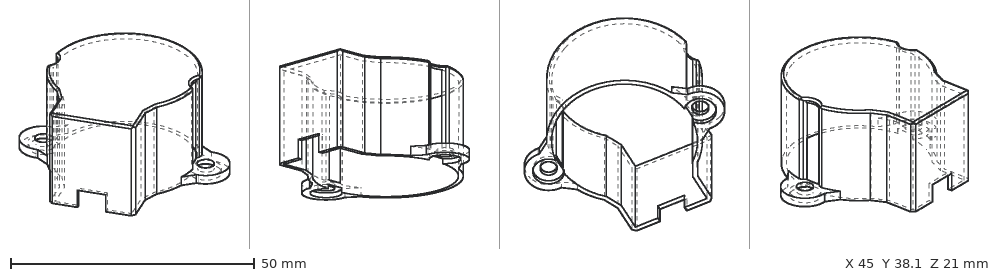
import cadquery as cq
import math

height = 21.0
wall = 1.0
body_radius = 16.0
edge_chamfer = 0.5

box_half_width = 9.25
box_front_y = -22.1
box_back_y = -15.0
box_corner_chamfer = 0.75
cheek_x = 10.75
cheek_y = -math.sqrt(body_radius**2 - cheek_x**2)

cable_width = 6.1
cable_height = 4.0

ear_spacing = 35.0
ear_x = ear_spacing / 2
ear_radius = 5.0
ear_thickness = 2.0
ear_hole_diameter = 3.5
ear_recess_diameter = 6.5
ear_recess_depth = 1.0
ear_flank_x = 17.1
ear_root_x = 14.43
ear_root_y = math.sqrt(body_radius**2 - ear_root_x**2)

notch_radius = 3.0


def body_outline():
    """Keyhole outline of the round body, slanted cheeks and box."""
    return (
        cq.Workplane("XY")
        .moveTo(cheek_x, cheek_y)
        .lineTo(box_half_width, box_back_y)
        .lineTo(box_half_width, box_front_y)
        .lineTo(-box_half_width, box_front_y)
        .lineTo(-box_half_width, box_back_y)
        .lineTo(-cheek_x, cheek_y)
        .threePointArc((0, body_radius), (cheek_x, cheek_y))
        .close()
    )


def outer_body():
    """Solid envelope with screw notches and a chamfered rim, box corners and notch tips."""
    body = body_outline().extrude(height)
    notches = cq.Workplane("XY").pushPoints([(-ear_x, 0), (ear_x, 0)]).circle(notch_radius).extrude(height)
    body = body.cut(notches)

    body = body.faces(">Z").edges().chamfer(edge_chamfer)

    tip_x = (body_radius**2 - notch_radius**2 + ear_x**2) / (2 * ear_x)
    tip_y = math.sqrt(body_radius**2 - tip_x**2)
    upright_mid_z = (height - edge_chamfer) / 2
    for side in (-1, 1):
        for end in (-1, 1):
            tip = cq.selectors.NearestToPointSelector((side * tip_x, end * tip_y, upright_mid_z))
            body = body.edges(tip).chamfer(edge_chamfer)
        corner = cq.selectors.NearestToPointSelector((side * box_half_width, box_front_y, upright_mid_z))
        body = body.edges(corner).chamfer(box_corner_chamfer)

    return body


def cavity():
    """Hollow open at the bottom; it breaks through the notches as two tall slits."""
    return body_outline().offset2D(-wall, "intersection").extrude(height - wall)


def ear(side):
    """Flat mounting ear with flared roots; side is -1 or 1 along X."""
    return (
        cq.Workplane("XY")
        .moveTo(0, ear_root_y)
        .lineTo(side * ear_root_x, ear_root_y)
        .lineTo(side * ear_flank_x, ear_radius)
        .lineTo(side * ear_x, ear_radius)
        .threePointArc((side * (ear_x + ear_radius), 0), (side * ear_x, -ear_radius))
        .lineTo(side * ear_flank_x, -ear_radius)
        .lineTo(side * ear_root_x, -ear_root_y)
        .lineTo(0, -ear_root_y)
        .close()
        .extrude(ear_thickness)
    )


def ear_holes():
    """Screw holes through both ears, each widened by a recess in the underside."""
    centres = cq.Workplane("XY").pushPoints([(-ear_x, 0), (ear_x, 0)])
    holes = centres.circle(ear_hole_diameter / 2).extrude(ear_thickness)
    recesses = centres.circle(ear_recess_diameter / 2).extrude(ear_recess_depth)
    return holes.union(recesses)


def cable_opening():
    """Block that cuts the cable opening through the front wall of the box."""
    return (
        cq.Workplane("XY")
        .box(cable_width, 2 * wall, cable_height, centered=(True, True, False))
        .translate((0, box_front_y, 0))
    )


result = outer_body()
for ear_side in (-1, 1):
    result = result.union(ear(ear_side))
result = result.cut(cavity()).cut(ear_holes()).cut(cable_opening())